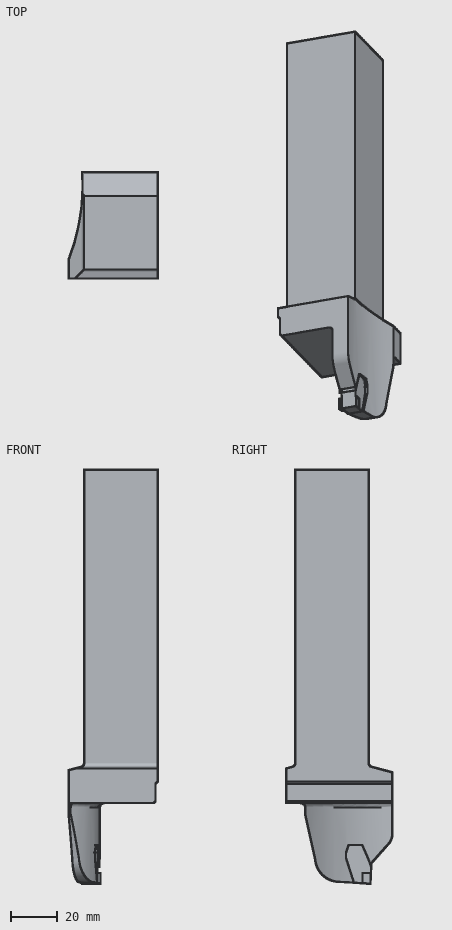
import cadquery as cq
import math

TOTAL_HEIGHT = 177.8
SHANK_SIZE = 31.6

HEAD_LEFT = -6.5
HEAD_FRONT = -4.0
HEAD_BACK = 41.8
HEAD_BOTTOM = 34.7
SHOULDER_Z = 50.7
SHOULDER_SLOPE = math.tan(math.radians(15))
SHOULDER_FILLET = 1.6
RELIEF_DEPTH = 0.9
RELIEF_TOP = 43.0
HEAD_CHAMFER = 0.9

BLADE_APEX_Y = 35.5
OUTER_APEX_X = -0.7
OUTER_RADIUS = 85.3
INNER_APEX_X = 6.8
INNER_RADIUS = 45.5
BLADE_BOTTOM = 0.5
BLADE_FRONT = 4.3
ROOT_FILLET = 1.8

INSERT_LEFT = -0.7
INSERT_RIGHT = 5.9
EDGE_LEFT = -0.9
EDGE_RIGHT = 7.1
RAKE_Y = 32.4
EDGE_HEIGHT = 4.8
EDGE_FRONT_Y = 29.0
INSERT_TOE = (25.2, BLADE_BOTTOM)
INSERT_HEEL = (32.7, 7.3)

BOX_MARGIN = 0.2


def prism_x(outline, x_min, x_max):
    """Extrude a closed (Y, Z) outline along X."""
    return outline.close().extrude(x_max - x_min).translate((x_min, 0, 0))


def upright_cylinder(apex_x, radius):
    """Full-height cylinder whose +X extreme lies at the blade apex."""
    return (
        cq.Workplane("XY")
        .center(apex_x - radius, BLADE_APEX_Y)
        .circle(radius)
        .extrude(TOTAL_HEIGHT)
    )


def make_shank():
    return (
        cq.Workplane("XY", origin=(0, 0, SHOULDER_Z))
        .rect(SHANK_SIZE, SHANK_SIZE, centered=False)
        .extrude(TOTAL_HEIGHT - SHOULDER_Z)
    )


def make_head():
    """Block with shoulders falling away from the shank to the left, front and back."""
    left_z = SHOULDER_Z + HEAD_LEFT * SHOULDER_SLOPE
    front_z = SHOULDER_Z + HEAD_FRONT * SHOULDER_SLOPE
    back_z = SHOULDER_Z - (HEAD_BACK - SHANK_SIZE) * SHOULDER_SLOPE
    relief_x = SHANK_SIZE - RELIEF_DEPTH

    across = (
        cq.Workplane("XZ")
        .moveTo(HEAD_LEFT, HEAD_BOTTOM)
        .lineTo(relief_x - HEAD_CHAMFER, HEAD_BOTTOM)
        .lineTo(relief_x, HEAD_BOTTOM + HEAD_CHAMFER)
        .lineTo(relief_x, RELIEF_TOP)
        .lineTo(SHANK_SIZE, RELIEF_TOP + RELIEF_DEPTH)
        .lineTo(SHANK_SIZE, SHOULDER_Z)
        .lineTo(0, SHOULDER_Z)
        .lineTo(HEAD_LEFT, left_z)
        .close()
        .extrude(HEAD_FRONT - HEAD_BACK)
        .translate((0, HEAD_FRONT, 0))
    )
    along = prism_x(
        cq.Workplane("YZ")
        .moveTo(HEAD_FRONT, HEAD_BOTTOM)
        .lineTo(HEAD_BACK, HEAD_BOTTOM)
        .lineTo(HEAD_BACK, back_z)
        .lineTo(SHANK_SIZE, SHOULDER_Z)
        .lineTo(0, SHOULDER_Z)
        .lineTo(HEAD_FRONT, front_z),
        HEAD_LEFT,
        SHANK_SIZE,
    )
    return across.intersect(along)


def make_blade():
    """Side profile of the blade, rounded on its inner side by the inner arc."""
    profile = prism_x(
        cq.Workplane("YZ")
        .moveTo(BLADE_FRONT, HEAD_BOTTOM)
        .lineTo(BLADE_FRONT, 29.9)
        .lineTo(8.5, 10.7)
        .threePointArc((12.3, 3.4), (18.8, 0.9))
        .lineTo(*INSERT_TOE)
        .lineTo(*INSERT_HEEL)
        .lineTo(32.7, 8.9)
        .lineTo(39.6, 16.7)
        .threePointArc((41.2, 19.0), (HEAD_BACK, 21.3))
        .lineTo(HEAD_BACK, HEAD_BOTTOM),
        HEAD_LEFT,
        INNER_APEX_X,
    )
    return profile.intersect(upright_cylinder(INNER_APEX_X, INNER_RADIUS))


def insert_outline():
    """Slanted insert outline, from the toe round to the rake face."""
    return (
        cq.Workplane("YZ")
        .moveTo(*INSERT_TOE)
        .lineTo(21.9, 11.0)
        .lineTo(21.9, 13.5)
        .lineTo(23.0, 16.7)
        .lineTo(28.8, 16.7)
        .lineTo(31.3, 11.0)
        .lineTo(*INSERT_HEEL)
        .lineTo(RAKE_Y, 0)
    )


def make_holder():
    head = make_shank().union(make_head())
    shank_foot = cq.selectors.BoxSelector(
        (-BOX_MARGIN, -BOX_MARGIN, SHOULDER_Z - BOX_MARGIN),
        (SHANK_SIZE - BOX_MARGIN, SHANK_SIZE + BOX_MARGIN, SHOULDER_Z + BOX_MARGIN),
    )
    head = head.edges(shank_foot).fillet(SHOULDER_FILLET)

    holder = head.union(make_blade())
    blade_root = cq.selectors.BoxSelector(
        (HEAD_LEFT + BOX_MARGIN, BLADE_FRONT - BOX_MARGIN, HEAD_BOTTOM - BOX_MARGIN),
        (INNER_APEX_X + BOX_MARGIN, HEAD_BACK - BOX_MARGIN, HEAD_BOTTOM + BOX_MARGIN),
    )
    holder = holder.edges(blade_root).fillet(ROOT_FILLET)

    holder = holder.cut(upright_cylinder(OUTER_APEX_X, OUTER_RADIUS))
    insert_pocket = prism_x(insert_outline(), HEAD_LEFT, SHANK_SIZE)
    return holder.cut(insert_pocket)


def make_insert():
    """Insert body with a wider cutting edge at its tip."""
    body = prism_x(insert_outline(), INSERT_LEFT, INSERT_RIGHT)
    cutting_edge = prism_x(
        cq.Workplane("YZ")
        .moveTo(EDGE_FRONT_Y, BLADE_BOTTOM)
        .lineTo(EDGE_FRONT_Y, EDGE_HEIGHT)
        .lineTo(RAKE_Y, EDGE_HEIGHT)
        .lineTo(RAKE_Y, 0),
        EDGE_LEFT,
        EDGE_RIGHT,
    )
    return body.union(cutting_edge)


holder = make_holder()
insert = make_insert()
result = cq.Compound.makeCompound([holder.val(), insert.val()])